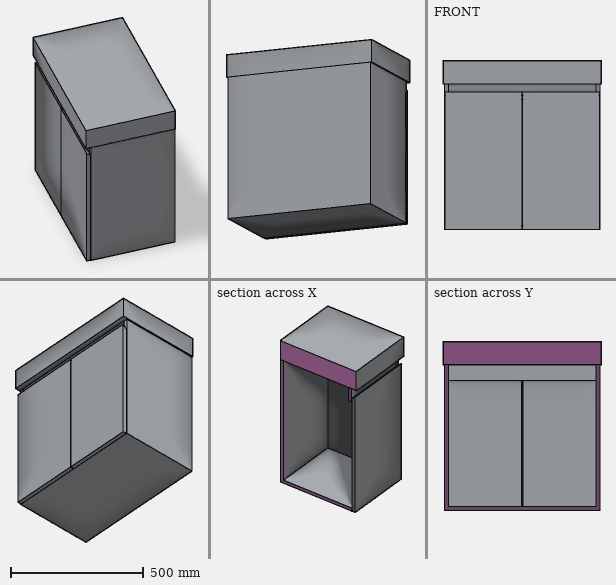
import cadquery as cq

width = 600.0
depth = 360.0
height = 640.0

slab_height = 88.0

panel = 16.0
side_inset = 5.0
carcass_width = width - 2 * side_inset
carcass_depth = 338.0
carcass_height = height - slab_height
inner_width = carcass_width - 2 * panel
back_y = depth / 2
carcass_front_y = back_y - carcass_depth

door_thickness = 16.0
finger_gap = 31.0
door_height = carcass_height - finger_gap
bevel_drop = 13.5
door_side_reveal = 2.5
door_centre_gap = 2.5
door_width = (carcass_width - 2 * door_side_reveal - door_centre_gap) / 2

rail_overlap = 16.0
rail_height = finger_gap + bevel_drop + rail_overlap


def box(size_x, size_y, size_z, front_y, bottom_z):
    """Block centred on X, placed by its front face and its underside."""
    block = cq.Workplane("XY").box(size_x, size_y, size_z, centered=(True, False, False))
    return block.translate((0, front_y, bottom_z))


def make_slab():
    """Plain slab lying on the carcass."""
    return box(width, depth, slab_height, -depth / 2, carcass_height)


def make_carcass():
    """Two sides, a floor and a back, open at the front and top."""
    outer = box(carcass_width, carcass_depth, carcass_height, carcass_front_y, 0)
    interior = box(inner_width, carcass_depth - panel, carcass_height - panel, carcass_front_y, panel)
    return outer.cut(interior)


def make_rail():
    """Rail between the carcass sides, flush with their front edges and top."""
    return box(inner_width, panel, rail_height, carcass_front_y, carcass_height - rail_height)


def make_door(left_x):
    """Door whose top slopes down towards the carcass to form a finger grip."""
    door_front_y = carcass_front_y - door_thickness
    profile = [
        (door_front_y, 0),
        (carcass_front_y, 0),
        (carcass_front_y, door_height - bevel_drop),
        (door_front_y, door_height),
    ]
    door = cq.Workplane("YZ").polyline(profile).close().extrude(door_width)
    return door.translate((left_x, 0, 0))


slab = make_slab()
carcass = make_carcass()
rail = make_rail()

doors = []
for door_left_x in (-door_centre_gap / 2 - door_width, door_centre_gap / 2):
    doors.append(make_door(door_left_x).val())

result = cq.Compound.makeCompound([slab.val(), carcass.val(), rail.val(), *doors])